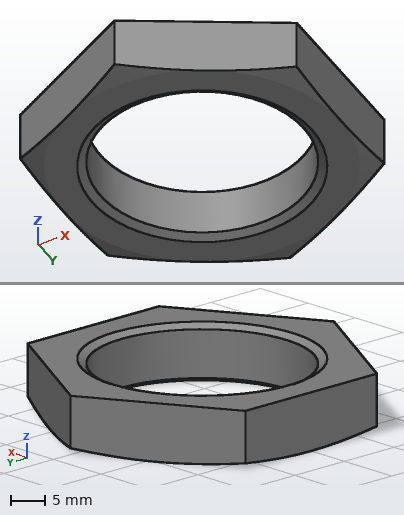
import cadquery as cq
import math

across_corners = 53.1
thickness = 9.0
bore_diameter = 33.85
countersink_diameter = 36.5
countersink_angle = 30.0
corner_chamfer_angle = 15.0

corner_radius = across_corners / 2
flat_radius = corner_radius * math.cos(math.radians(30))
bore_radius = bore_diameter / 2
countersink_radius = countersink_diameter / 2
countersink_depth = (countersink_radius - bore_radius) * math.tan(math.radians(countersink_angle))
chamfer_height = (corner_radius - flat_radius) * math.tan(math.radians(corner_chamfer_angle))


def hexagonal_body():
    """Hexagonal prism standing on Z = 0."""
    corners = []
    for index in range(6):
        angle = math.radians(90 + 60 * index)
        corners.append((corner_radius * math.cos(angle), corner_radius * math.sin(angle)))
    return cq.Workplane("XY").polyline(corners).close().extrude(thickness)


def chamfer_envelope():
    """Turned blank whose lower cone starts at the circle inscribed in the hexagon."""
    return (
        cq.Workplane("XZ")
        .moveTo(0, 0)
        .lineTo(flat_radius, 0)
        .lineTo(corner_radius, chamfer_height)
        .lineTo(corner_radius, thickness)
        .lineTo(0, thickness)
        .close()
        .revolve(360, (0, 0, 0), (0, 1, 0))
    )


def countersunk_bore():
    """Through bore, countersunk at both ends."""
    return (
        cq.Workplane("XZ")
        .moveTo(0, 0)
        .lineTo(countersink_radius, 0)
        .lineTo(bore_radius, countersink_depth)
        .lineTo(bore_radius, thickness - countersink_depth)
        .lineTo(countersink_radius, thickness)
        .lineTo(0, thickness)
        .close()
        .revolve(360, (0, 0, 0), (0, 1, 0))
    )


result = hexagonal_body().intersect(chamfer_envelope()).cut(countersunk_bore())